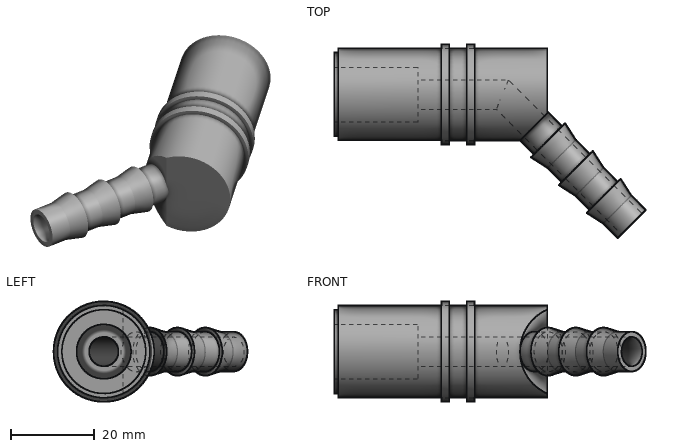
import cadquery as cq
import math

barrel_dia = 22.0
spigot_dia = 20.0
spigot_length = 1.0
socket_dia = 13.0
socket_depth = 20.0
bore_dia = 7.0

elbow_x = 40.1
bend_angle = 45
barrel_length = 50.9
flat_distance = barrel_length - elbow_x

tail_dia = 9.5
tail_length = 32.95
barb_dia = 11.5
barb_length = 4.5
barb_pitch = 9.4
first_barb = 4.7
barb_count = 3

ring_dia = 24.0
ring_width = 1.9
first_ring_x = 25.6
ring_pitch = 6.0
ring_count = 2


def cylinder_x(diameter, start, length):
    """Cylinder on the X axis."""
    return cq.Workplane("YZ", origin=(start, 0, 0)).circle(diameter / 2).extrude(length)


def tail_plane(distance):
    """Plane square to the tail axis, at a distance along it from the elbow point."""
    angle = math.radians(bend_angle)
    direction = (math.cos(angle), -math.sin(angle), 0)
    origin = (elbow_x + distance * direction[0], distance * direction[1], 0)
    return cq.Plane(origin=origin, xDir=(0, 0, 1), normal=direction)


def make_barrel():
    """Stepped barrel whose closed end is cut by a flat square to the tail."""
    spigot = cylinder_x(spigot_dia, 0, spigot_length)
    body = cylinder_x(barrel_dia, spigot_length, barrel_length - spigot_length)
    cutter_size = 2 * barrel_dia
    beyond_flat = cq.Workplane(tail_plane(flat_distance)).rect(cutter_size, cutter_size).extrude(cutter_size)
    return spigot.union(body).cut(beyond_flat)


def make_tail():
    """Tube with cone barbs, each widest on the side facing the barrel."""
    tail = cq.Workplane(tail_plane(0)).circle(tail_dia / 2).extrude(flat_distance + tail_length)
    for index in range(barb_count):
        start = flat_distance + first_barb + index * barb_pitch
        base = tail_plane(start)
        cone = cq.Solid.makeCone(barb_dia / 2, tail_dia / 2, barb_length, base.origin, base.zDir)
        tail = tail.union(cq.Workplane(cone))
    return tail


def make_passage():
    """Socket, then a narrower bore that turns with a mitred corner and runs out through the tail."""
    socket = cylinder_x(socket_dia, 0, socket_depth)
    tail_end = tail_plane(flat_distance + tail_length).origin
    centre_line = cq.Workplane("XY").polyline([(0, 0), (elbow_x, 0), (tail_end.x, tail_end.y)])
    bore = cq.Workplane("YZ").circle(bore_dia / 2).sweep(centre_line, transition="right")
    return socket.union(bore)


def make_ring(start):
    """Flat ring fitting closely around the barrel."""
    return cylinder_x(ring_dia, start, ring_width).cut(cylinder_x(barrel_dia, start, ring_width))


housing = make_barrel().union(make_tail()).cut(make_passage())
rings = [make_ring(first_ring_x + index * ring_pitch).val() for index in range(ring_count)]

result = cq.Compound.makeCompound([housing.val(), *rings])